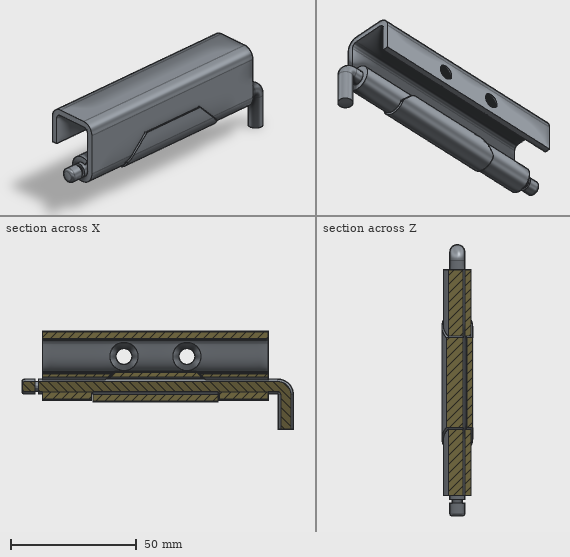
import cadquery as cq
import math


sheet_length = 90.0
sheet_thickness = 2.5
channel_width = 22.5
channel_top = 22.0
free_wall_bottom = 5.9
bend_inner_radius = 2.2
bend_outer_radius = bend_inner_radius + sheet_thickness

pin_radius = 3.0
knuckle_radius = pin_radius + sheet_thickness
middle_offset = 0.6
curl_end_angle = math.radians(60)
middle_top = 7.5
middle_width = 49.9
slope_start = -2.7
slit_width = 0.4

hole_diameter = 6.3
hole_height = 12.0
hole_spacing = 25.1
countersink_angle = 90

pin_front_overhang = 8.1
pin_back_overhang = 9.9
pin_bottom = -17.1
elbow_radius = 3.2
groove_radius = 2.0
groove_width = 1.3
groove_distance = 1.6
pin_end_fillet = 1.1

half_length = sheet_length / 2
wall_left = knuckle_radius - channel_width


def extruded_channel():
    """U-shaped channel; its hinge wall ends at the top of the knuckle zone."""
    def rounded_block(left, right, bottom, top, radius):
        return (
            cq.Workplane("XY")
            .box(right - left, sheet_length, top - bottom, centered=(False, True, False))
            .translate((left, 0, bottom))
            .edges("|Y and >Z")
            .fillet(radius)
        )

    outer = rounded_block(wall_left, knuckle_radius, free_wall_bottom, channel_top, bend_outer_radius)
    inner = rounded_block(
        wall_left + sheet_thickness,
        knuckle_radius - sheet_thickness,
        free_wall_bottom,
        channel_top - sheet_thickness,
        bend_inner_radius,
    )
    below_hinge_wall = (
        cq.Workplane("XY")
        .box(sheet_thickness, sheet_length, middle_top - free_wall_bottom, centered=(False, True, False))
        .translate((pin_radius, 0, free_wall_bottom))
    )
    return outer.cut(inner).cut(below_hinge_wall)


def curl(inner_radius):
    """Straight wall running down into a curl that wraps the pin axis."""
    outer_radius = inner_radius + sheet_thickness

    def arc_point(radius, angle):
        return radius * math.cos(angle), radius * math.sin(angle)

    middle_angle = curl_end_angle / 2 - math.pi
    return (
        cq.Workplane("XZ", origin=(0, half_length, 0))
        .moveTo(inner_radius, middle_top)
        .lineTo(outer_radius, middle_top)
        .lineTo(outer_radius, 0)
        .threePointArc(arc_point(outer_radius, middle_angle), arc_point(outer_radius, curl_end_angle))
        .lineTo(*arc_point(inner_radius, curl_end_angle))
        .threePointArc(arc_point(inner_radius, middle_angle), (inner_radius, 0))
        .close()
        .extrude(sheet_length)
    )


def middle_zone(extra_width):
    """Prism along X, with 45 degree sloped sides, that bounds the middle knuckle."""
    half_bottom = middle_width / 2 + extra_width
    half_top = half_bottom - (middle_top - slope_start)
    reach = 2 * knuckle_radius
    return (
        cq.Workplane("YZ", origin=(-reach, 0, 0))
        .polyline([
            (-half_bottom, -reach),
            (half_bottom, -reach),
            (half_bottom, slope_start),
            (half_top, middle_top),
            (-half_top, middle_top),
            (-half_bottom, slope_start),
        ])
        .close()
        .extrude(2 * reach)
    )


def wall_holes():
    """Screw holes, narrowest at the outer face and flaring inward as countersinks."""
    return (
        cq.Workplane("YZ", origin=(wall_left, 0, hole_height))
        .pushPoints([(-hole_spacing / 2, 0), (hole_spacing / 2, 0)])
        .circle(hole_diameter / 2)
        .extrude(sheet_thickness, taper=-countersink_angle / 2)
    )


def make_bracket():
    end_knuckles = curl(pin_radius).cut(middle_zone(slit_width))
    middle_knuckle = curl(pin_radius + middle_offset).intersect(middle_zone(0))
    return extruded_channel().union(end_knuckles).union(middle_knuckle).cut(wall_holes())


def make_pin():
    """Bent pin with a retaining groove near its straight end."""
    front = -half_length - pin_front_overhang
    leg_y = half_length + pin_back_overhang - pin_radius
    elbow_start = leg_y - elbow_radius
    elbow_middle = elbow_radius * math.sqrt(0.5)
    path = (
        cq.Workplane("YZ")
        .moveTo(front, 0)
        .lineTo(elbow_start, 0)
        .threePointArc(
            (elbow_start + elbow_middle, elbow_middle - elbow_radius),
            (leg_y, -elbow_radius),
        )
        .lineTo(leg_y, pin_bottom)
    )
    rod = cq.Workplane("XZ", origin=(0, front, 0)).circle(pin_radius).sweep(path)
    groove = (
        cq.Workplane("XZ", origin=(0, -half_length - groove_distance, 0))
        .circle(pin_radius)
        .circle(groove_radius)
        .extrude(groove_width)
    )
    return rod.faces("<Y").edges().fillet(pin_end_fillet).cut(groove)


bracket = make_bracket()
pin = make_pin()

result = cq.Compound.makeCompound([bracket.solids().val(), pin.solids().val()])